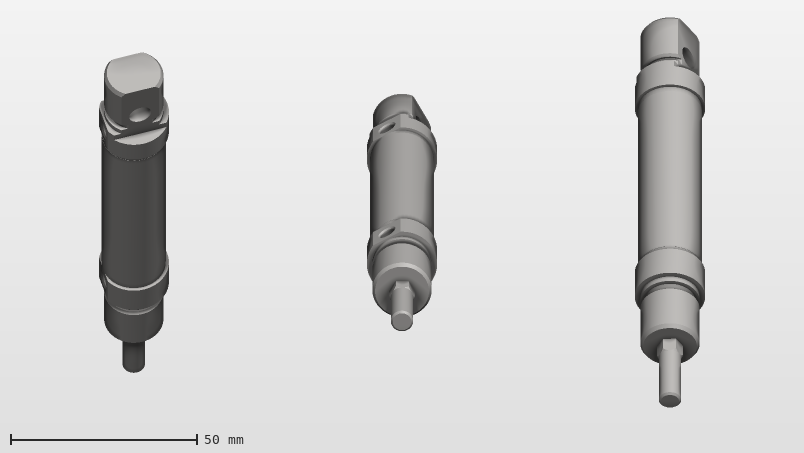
import cadquery as cq
import math

total_length = 134.0

hex_bottom_z = 16.0
nose_bottom_z = 20.1
nose_groove_bottom_z = 34.6
nose_groove_top_z = 36.7
front_body_bottom_z = 38.3
front_body_top_z = 47.2
barrel_bottom_z = 48.8
barrel_top_z = 105.7
rear_body_bottom_z = 107.3
side_step_z = 114.2
rear_body_top_z = 116.2
collar_top_z = 117.8
eye_bottom_z = 119.5

barrel_diameter = 17.3
spigot_diameter = 17.2
body_diameter = 18.9
boss_diameter = 16.0
groove_diameter = 13.7
rod_diameter = 6.0
hex_half_angle = 30.0
rod_corner_diameter = rod_diameter / math.cos(math.radians(hex_half_angle))

boss_end_diameter = 14.5
boss_end_chamfer_height = 1.1
shoulder_chamfer = 0.7
rod_chamfer = 0.5
hex_chamfer_angle = 30.0

port_flat_width = 8.3
port_flat_y = -math.sqrt(body_diameter**2 - port_flat_width**2) / 2
port_diameter = 4.4
port_chamfer = 0.4
port_drop = 0.3
port_tip_angle = 120.0
rear_port_depth = 4.0

eye_width = 11.9
eye_hole_diameter = 6.2
eye_hole_z = 122.9


def cylinder(diameter, bottom_z, top_z):
    return cq.Workplane("XY").workplane(offset=bottom_z).circle(diameter / 2).extrude(top_z - bottom_z)


def cone(bottom_diameter, top_diameter, bottom_z, top_z):
    base_center = cq.Vector(0, 0, bottom_z)
    frustum = cq.Solid.makeCone(bottom_diameter / 2, top_diameter / 2, top_z - bottom_z, base_center)
    return cq.Workplane("XY").newObject([frustum])


def hex_bar(bottom_z, top_z):
    """Hexagonal bar as wide across its flats as the rod, with two corners on the Y axis."""
    outline = cq.Workplane("XY").workplane(offset=bottom_z).polygon(6, rod_corner_diameter)
    return outline.extrude(top_z - bottom_z).rotate((0, 0, 0), (0, 0, 1), hex_half_angle)


def flatted_body(bottom_z, top_z):
    """Round cap body with the port flat cut across its -Y side."""
    flat_cut = cq.Workplane("XY").box(
        body_diameter, body_diameter, total_length, centered=(True, True, False)
    )
    flat_cut = flat_cut.translate((0, port_flat_y - body_diameter / 2, 0))
    return cylinder(body_diameter, bottom_z, top_z).cut(flat_cut)


def port_tool(center_z, depth):
    """Drilled port with a chamfered mouth and a conical tip, running in along +Y from the flat."""
    radius = port_diameter / 2
    tip_length = radius / math.tan(math.radians(port_tip_angle / 2))
    half_section = (
        cq.Workplane("XY")
        .polyline([
            (0, 0),
            (radius + port_chamfer, 0),
            (radius, port_chamfer),
            (radius, depth),
            (0, depth + tip_length),
        ])
        .close()
    )
    return half_section.revolve(360, (0, 0, 0), (0, 1, 0)).translate((0, port_flat_y, center_z))


def make_barrel():
    return cylinder(barrel_diameter, barrel_bottom_z, barrel_top_z)


def make_rod():
    """Round rod that continues as a hexagonal bar through the front cap up to the barrel."""
    round_end = cylinder(rod_diameter, 0, hex_bottom_z).faces("<Z").chamfer(rod_chamfer)
    chamfer_height = (rod_corner_diameter - rod_diameter) / 2 / math.tan(math.radians(hex_chamfer_angle))
    chamfer_top_z = hex_bottom_z + chamfer_height
    corner_cone = cone(rod_diameter, rod_corner_diameter, hex_bottom_z, chamfer_top_z)
    turned_blank = corner_cone.union(cylinder(rod_corner_diameter, chamfer_top_z, barrel_bottom_z))
    hex_end = hex_bar(hex_bottom_z, barrel_bottom_z).intersect(turned_blank)
    return round_end.union(hex_end)


def make_front_cap():
    chamfer_top_z = nose_bottom_z + boss_end_chamfer_height
    nose_end = cone(boss_end_diameter, boss_diameter, nose_bottom_z, chamfer_top_z)
    nose = cylinder(boss_diameter, chamfer_top_z, nose_groove_bottom_z).faces(">Z").chamfer(shoulder_chamfer)
    groove_neck = cylinder(groove_diameter, nose_groove_bottom_z, nose_groove_top_z)
    collar = cylinder(boss_diameter, nose_groove_top_z, front_body_bottom_z)
    body = flatted_body(front_body_bottom_z, front_body_top_z)
    spigot = cylinder(spigot_diameter, front_body_top_z, barrel_bottom_z)
    cap = nose.union(nose_end).union(groove_neck).union(collar).union(body).union(spigot)

    port_z = (front_body_bottom_z + front_body_top_z) / 2 - port_drop
    rod_bore = hex_bar(nose_bottom_z, barrel_bottom_z)
    port_depth = -port_flat_y - rod_diameter / 2
    return cap.cut(port_tool(port_z, port_depth)).cut(rod_bore)


def make_rear_cap():
    spigot = cylinder(spigot_diameter, barrel_top_z, rear_body_bottom_z)
    body = flatted_body(rear_body_bottom_z, rear_body_top_z)
    collar = cylinder(boss_diameter, rear_body_top_z, collar_top_z)
    groove_neck = cylinder(groove_diameter, collar_top_z, eye_bottom_z)
    chamfer_bottom_z = total_length - boss_end_chamfer_height
    eye = cylinder(boss_diameter, eye_bottom_z, chamfer_bottom_z).faces("<Z").chamfer(shoulder_chamfer)
    eye_end = cone(boss_diameter, boss_end_diameter, chamfer_bottom_z, total_length)
    cap = spigot.union(body).union(collar).union(groove_neck).union(eye).union(eye_end)

    for side in (-1, 1):
        side_cut = cq.Workplane("XY").box(
            body_diameter, 2 * body_diameter, total_length, centered=(True, True, False)
        )
        side_cut_x = side * (eye_width + body_diameter) / 2
        cap = cap.cut(side_cut.translate((side_cut_x, 0, side_step_z)))

    eye_hole = (
        cq.Workplane("YZ").center(0, eye_hole_z).circle(eye_hole_diameter / 2).extrude(eye_width, both=True)
    )
    port_z = (rear_body_bottom_z + rear_body_top_z) / 2 - port_drop
    return cap.cut(eye_hole).cut(port_tool(port_z, rear_port_depth))


barrel = make_barrel()
rod = make_rod()
front_cap = make_front_cap()
rear_cap = make_rear_cap()

result = cq.Compound.makeCompound([barrel.val(), rod.val(), front_cap.val(), rear_cap.val()])